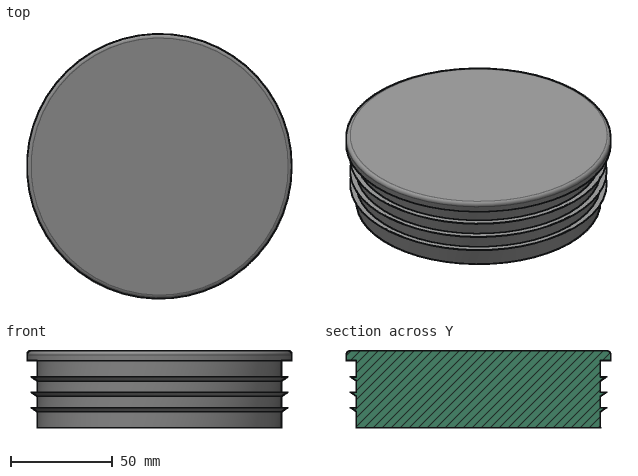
import cadquery as cq

height = 38.0
flange_diameter = 130.0
flange_thickness = 5.0
flange_edge_radius = 2.0
plug_diameter = 120.0
fin_diameter = 126.0
fin_height = 2.1
fin_count = 3
fin_pitch = 7.5
lowest_fin_base = 7.9

flange_underside = height - flange_thickness


def make_plug():
    """Cylindrical body that enters the tube."""
    return cq.Workplane("XY").circle(plug_diameter / 2).extrude(flange_underside)


def make_flange():
    """Cap disc with a rounded upper edge."""
    disc = cq.Workplane("XY").workplane(offset=flange_underside)
    disc = disc.circle(flange_diameter / 2).extrude(flange_thickness)
    return disc.faces(">Z").edges().fillet(flange_edge_radius)


def make_fin(base):
    """Sealing fin: conical below, flat on top, starting at the plug wall."""
    top = base + fin_height
    profile = (
        cq.Workplane("XZ")
        .moveTo(0, base)
        .lineTo(plug_diameter / 2, base)
        .lineTo(fin_diameter / 2, top)
        .lineTo(0, top)
        .close()
    )
    return profile.revolve(360, (0, 0, 0), (0, 1, 0))


result = make_plug().union(make_flange())
for index in range(fin_count):
    result = result.union(make_fin(lowest_fin_base + index * fin_pitch))